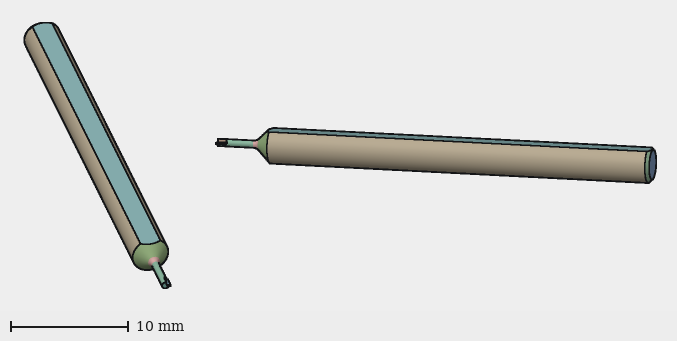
import cadquery as cq
import math

total_length = 38.1
shank_diameter = 3.15
height_over_flat = 2.9
rear_chamfer = 0.3
cone_start = 33.35
cone_angle = math.radians(45)
neck_diameter = 0.65
neck_fillet_radius = 0.65
tip_relief = 0.1
rake_length = 1.03
rake_runout = 0.2
rake_height = 0.05
rake_inner_y = 0.08
tooth_reach = 0.42
tooth_thickness = 0.1

shank_radius = shank_diameter / 2
neck_radius = neck_diameter / 2
neck_end = total_length - tip_relief
rake_start = total_length - rake_length
tooth_start = rake_start + rake_runout


def turned_body():
    """Chamfered shank, cone and neck, blended by a tangent fillet."""
    sharp_corner = cone_start + (shank_radius - neck_radius) / math.tan(cone_angle)
    tangent_length = neck_fillet_radius * math.tan(cone_angle / 2)
    fillet_start = (
        sharp_corner - tangent_length * math.cos(cone_angle),
        neck_radius + tangent_length * math.sin(cone_angle),
    )
    fillet_end = (sharp_corner + tangent_length, neck_radius)
    fillet_middle = (
        fillet_end[0] - neck_fillet_radius * math.sin(cone_angle / 2),
        neck_radius + neck_fillet_radius * (1 - math.cos(cone_angle / 2)),
    )
    return (
        cq.Workplane("XY")
        .lineTo(0, shank_radius - rear_chamfer)
        .lineTo(rear_chamfer, shank_radius)
        .lineTo(cone_start, shank_radius)
        .lineTo(*fillet_start)
        .threePointArc(fillet_middle, fillet_end)
        .lineTo(neck_end, neck_radius)
        .lineTo(neck_end, 0)
        .close()
        .revolve(360, (0, 0, 0), (1, 0, 0))
    )


def above_flat():
    """Material removed above the flat along the shank."""
    return cq.Workplane("XY").box(
        total_length, shank_diameter, shank_radius, centered=(False, True, False)
    ).translate((0, 0, height_over_flat - shank_radius))


def rake_pocket():
    """Space above the rake face, with a slanted run-out at its rear."""
    return (
        cq.Workplane("XY", origin=(0, 0, rake_height))
        .moveTo(rake_start, tooth_reach)
        .lineTo(tooth_start, rake_inner_y)
        .lineTo(total_length, rake_inner_y)
        .lineTo(total_length, tooth_reach)
        .close()
        .extrude(neck_radius)
    )


def cutting_tooth():
    """Tooth below the rake face, pointing forward and toward +Y."""
    return (
        cq.Workplane("XY", origin=(0, 0, rake_height))
        .moveTo(rake_start, rake_inner_y)
        .lineTo(tooth_start, tooth_reach)
        .lineTo(total_length, tooth_reach)
        .lineTo(neck_end, rake_inner_y)
        .close()
        .extrude(-tooth_thickness)
    )


result = turned_body().cut(above_flat()).cut(rake_pocket()).union(cutting_tooth())